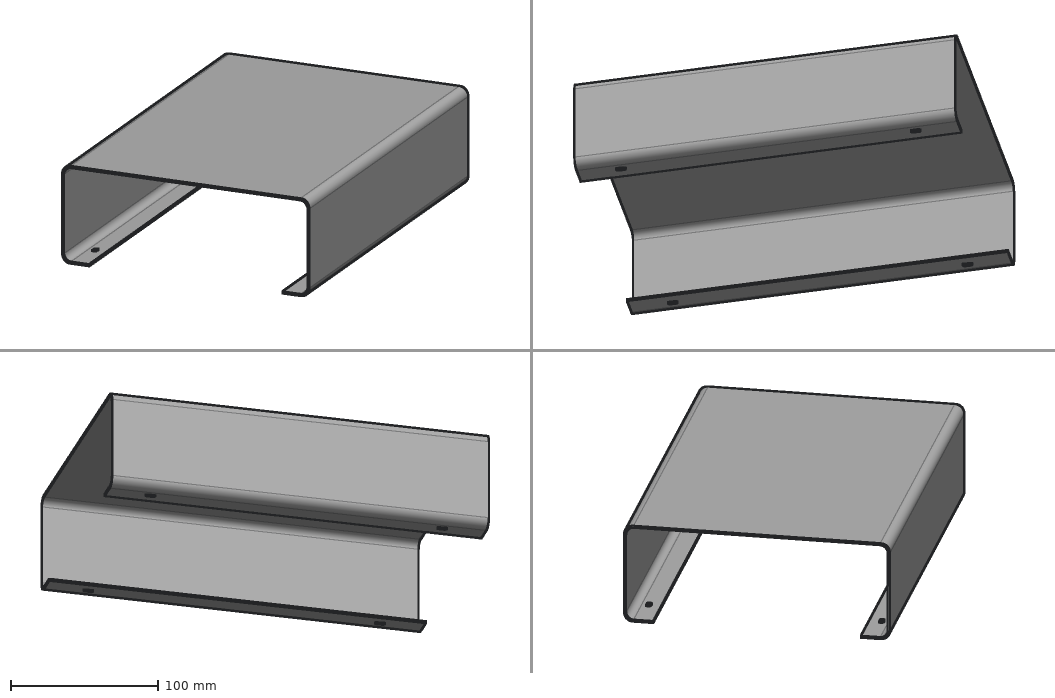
import cadquery as cq

width = 184.0
length = 265.0
height = 70.0

thickness = 1.5
outer_bend_radius = 6.5
lip_width = 20.1

slot_length = 6.5
slot_width = 3.2
slot_end_distance = 30.0
slot_lip_edge_distance = 8.7


def rounded_tube(tube_width, tube_height, corner_radius):
    """Solid bar along Y with rounded long edges, centred on the origin."""
    bar = cq.Workplane("XY").box(tube_width, length, tube_height)
    return bar.edges("|Y").fillet(corner_radius)


def bent_sheet():
    """Folded sheet: top, two sides and two lips turned inward below."""
    outside = rounded_tube(width, height, outer_bend_radius)
    inside = rounded_tube(
        width - 2 * thickness,
        height - 2 * thickness,
        outer_bend_radius - thickness,
    )
    opening_width = width - 2 * lip_width
    opening = (
        cq.Workplane("XY")
        .box(opening_width, length, height / 2)
        .translate((0, 0, -height / 4))
    )
    return outside.cut(inside).cut(opening)


def lip_slots():
    """Cutters for a slot in each lip, near both ends."""
    spacing_x = width - 2 * (lip_width - slot_lip_edge_distance)
    spacing_y = length - 2 * slot_end_distance
    return (
        cq.Workplane("XY", origin=(0, 0, -height / 2))
        .rect(spacing_x, spacing_y, forConstruction=True)
        .vertices()
        .slot2D(slot_length, slot_width, 90)
        .extrude(2 * thickness)
    )


result = bent_sheet().cut(lip_slots())